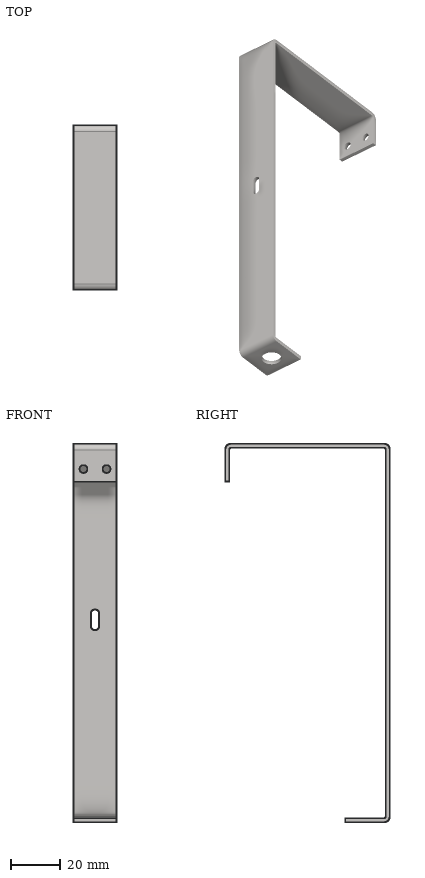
import cadquery as cq

width = 17.5
depth = 67.0
height = 154.2

thickness = 1.7
inner_bend_radius = 0.8
outer_bend_radius = inner_bend_radius + thickness

foot_length = 18.2
lip_length = 15.4

lip_hole_diameter = 3.2
lip_hole_spacing = 9.4
lip_hole_drop = 10.3
slot_length = 8.3
slot_width = 3.2
slot_drop = 71.7
foot_hole_diameter = 8.0
foot_hole_setback = 10.2

front_y = 0.0
back_y = depth
lip_bottom = height - lip_length


def bent_strip():
    """Constant-thickness profile in the YZ plane, extruded across the width."""
    outline = [
        (back_y - foot_length, 0),
        (back_y, 0),
        (back_y, height),
        (front_y, height),
        (front_y, lip_bottom),
        (front_y + thickness, lip_bottom),
        (front_y + thickness, height - thickness),
        (back_y - thickness, height - thickness),
        (back_y - thickness, thickness),
        (back_y - foot_length, thickness),
    ]
    strip = cq.Workplane("YZ").polyline(outline).close().extrude(width / 2, both=True)
    bends = [
        (back_y, 0, -1, 1),
        (back_y, height, -1, -1),
        (front_y, height, 1, -1),
    ]
    for y, z, inward_y, inward_z in bends:
        inner_corner = (0, y + inward_y * thickness, z + inward_z * thickness)
        strip = strip.edges(cq.NearestToPointSelector((0, y, z))).fillet(outer_bend_radius)
        strip = strip.edges(cq.NearestToPointSelector(inner_corner)).fillet(inner_bend_radius)
    return strip


def lip_holes():
    """Pair of round holes through the hanging front lip."""
    z = height - lip_hole_drop
    return (
        cq.Workplane("XZ", origin=(0, front_y, z))
        .pushPoints([(-lip_hole_spacing / 2, 0), (lip_hole_spacing / 2, 0)])
        .circle(lip_hole_diameter / 2)
        .extrude(2 * thickness, both=True)
    )


def wall_slot():
    """Vertical slot through the tall back wall."""
    return (
        cq.Workplane("XZ", origin=(0, back_y, height - slot_drop))
        .slot2D(slot_length, slot_width, 90)
        .extrude(2 * thickness, both=True)
    )


def foot_hole():
    """Round hole through the foot."""
    return (
        cq.Workplane("XY", origin=(0, back_y - foot_hole_setback, 0))
        .circle(foot_hole_diameter / 2)
        .extrude(2 * thickness, both=True)
    )


result = bent_strip().cut(lip_holes()).cut(wall_slot()).cut(foot_hole())